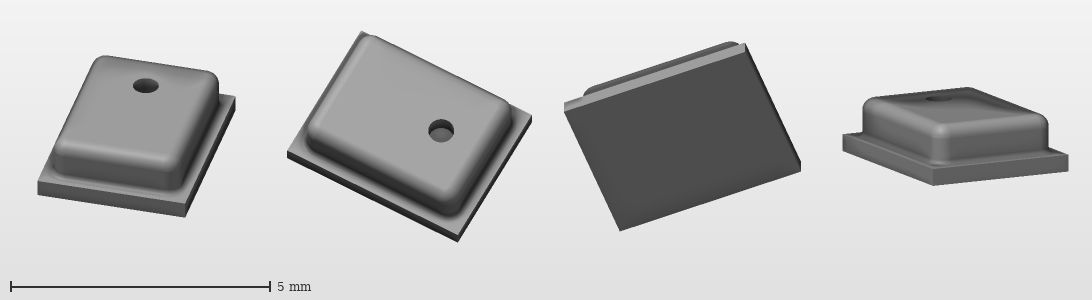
import cadquery as cq

plate_width = 2.95
plate_length = 3.76
plate_thickness = 0.33

total_height = 1.1
lid_width = 2.535
lid_length = 3.33
lid_corner_radius = 0.28
lid_top_radius = 0.252
foot_radius = 0.1
lid_height = total_height - plate_thickness

port_diameter = 0.5
port_offset_y = 0.7
port_depth = lid_height / 2


def rounded_block(width, length, height, corner_radius):
    """Block standing on the plate, with rounded vertical edges."""
    return (
        cq.Workplane("XY")
        .workplane(offset=plate_thickness)
        .rect(width, length)
        .extrude(height)
        .edges("|Z")
        .fillet(corner_radius)
    )


def make_lid():
    """Lid with a rounded top rim."""
    lid = rounded_block(lid_width, lid_length, lid_height, lid_corner_radius)
    return lid.faces(">Z").edges().fillet(lid_top_radius)


def add_foot_fillet(body):
    """Blend the lid walls into the plate with a concave fillet."""
    overlap = 0.005
    foot_edges = cq.selectors.BoxSelector(
        (-lid_width / 2 - overlap, -lid_length / 2 - overlap, plate_thickness - overlap),
        (lid_width / 2 + overlap, lid_length / 2 + overlap, plate_thickness + overlap),
        boundingbox=True,
    )
    return body.edges(foot_edges).fillet(foot_radius)


def make_port():
    """Blind round hole reaching down from the top of the lid."""
    return (
        cq.Workplane("XY")
        .workplane(offset=total_height)
        .center(0, port_offset_y)
        .circle(port_diameter / 2)
        .extrude(-port_depth)
    )


plate = cq.Workplane("XY").box(
    plate_width, plate_length, plate_thickness, centered=(True, True, False)
)
result = add_foot_fillet(plate.union(make_lid())).cut(make_port())